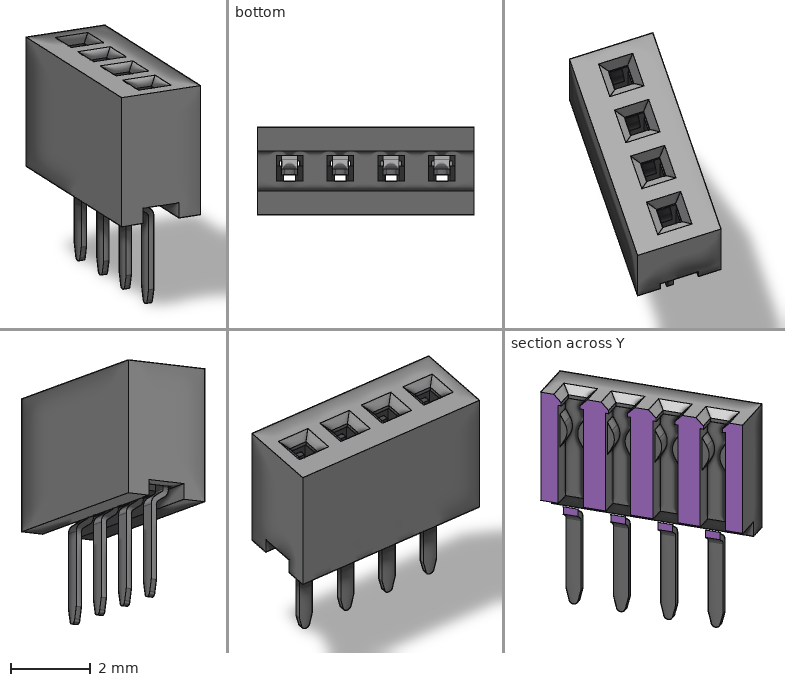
import cadquery as cq
import math


body_length = 5.42
body_width = 2.2
body_height = 3.4
notch_width = 1.0
notch_height = 0.4

contact_count = 4
pitch = 1.27
contact_xs = [(i - (contact_count - 1) / 2) * pitch for i in range(contact_count)]

funnel_side = 0.9
throat_side = 0.5
funnel_depth = (funnel_side - throat_side) / 2
throat_depth = 0.1
throat_z = body_height - funnel_depth
cavity_top_z = throat_z - throat_depth
cavity_side_gap = 0.08
cavity_back_gap = 0.005
cavity_half_width = throat_side / 2 + cavity_side_gap
cavity_back_y = throat_side / 2 + cavity_back_gap

total_height = 5.8
pin_bottom_z = body_height - total_height
pin_width = 0.4
sheet_thickness = 0.15
blade_y = 0.025
plate_y = -0.32
bend_start_z = -0.065
bend_angle = math.radians(57)
lower_bend_radius = 0.19
upper_bend_radius = 0.155
taper_height = 0.42
tip_half_width = 0.12
tip_round_height = 0.11
cavity_front_y = plate_y - sheet_thickness / 2

arm_recess = 0.29
arm_top_z = cavity_top_z - arm_recess
arm_front_y = -0.13
arm_tip_half_gap = 0.145
flare_half_gap = 0.21
flare_angle = math.radians(30)


def make_housing():
    """Plain block with a notch along its underside."""
    block = cq.Workplane("XY").box(body_length, body_width, body_height, centered=(True, True, False))
    notch = cq.Workplane("XY").box(body_length, notch_width, notch_height, centered=(True, True, False))
    return block.cut(notch)


def make_entry():
    """Space of one contact: funnel, throat and cavity, centred on X = 0."""
    funnel = (
        cq.Workplane("XY", origin=(0, 0, throat_z))
        .rect(throat_side, throat_side)
        .workplane(offset=funnel_depth)
        .rect(funnel_side, funnel_side)
        .loft(ruled=True)
    )
    throat = (
        cq.Workplane("XY", origin=(0, 0, cavity_top_z))
        .rect(throat_side, throat_side)
        .extrude(throat_depth)
    )
    cavity = (
        cq.Workplane("XY", origin=(0, 0, notch_height))
        .moveTo(-cavity_half_width, cavity_front_y)
        .lineTo(cavity_half_width, cavity_front_y)
        .lineTo(cavity_half_width, cavity_back_y)
        .lineTo(-cavity_half_width, cavity_back_y)
        .close()
        .extrude(cavity_top_z - notch_height)
    )
    return funnel.union(throat).union(cavity)


def make_arm():
    """Spring arm on the +X wall: a flare, a rounded contact line and the same flare below."""
    flare_height = (cavity_half_width - flare_half_gap) / math.tan(flare_angle)
    round_radius = (flare_half_gap - arm_tip_half_gap) / (1 - math.cos(flare_angle))
    round_half_height = round_radius * math.sin(flare_angle)
    round_top_z = arm_top_z - flare_height
    contact_z = round_top_z - round_half_height
    round_bottom_z = contact_z - round_half_height
    return (
        cq.Workplane("XZ", origin=(0, cavity_back_y, 0))
        .moveTo(cavity_half_width, arm_top_z)
        .lineTo(flare_half_gap, round_top_z)
        .threePointArc((arm_tip_half_gap, contact_z), (flare_half_gap, round_bottom_z))
        .lineTo(cavity_half_width, round_bottom_z - flare_height)
        .close()
        .extrude(cavity_back_y - arm_front_y)
    )


def make_blade():
    """Straight lower part of a pin with a tapered, rounded tip."""
    half_width = pin_width / 2
    taper_z = pin_bottom_z + taper_height
    round_z = pin_bottom_z + tip_round_height
    return (
        cq.Workplane("XZ", origin=(0, blade_y + sheet_thickness / 2, 0))
        .moveTo(-half_width, bend_start_z)
        .lineTo(-half_width, taper_z)
        .lineTo(-tip_half_width, round_z)
        .threePointArc((0, pin_bottom_z), (tip_half_width, round_z))
        .lineTo(half_width, taper_z)
        .lineTo(half_width, bend_start_z)
        .close()
        .extrude(sheet_thickness)
    )


def make_bent_plate():
    """Upper part of a pin: an S-bend toward -Y, then a plate up the cavity's front wall."""
    turn = 1 - math.cos(bend_angle)
    lower_end_y = blade_y - lower_bend_radius * turn
    lower_end_z = bend_start_z + lower_bend_radius * math.sin(bend_angle)
    upper_start_y = plate_y + upper_bend_radius * turn
    upper_start_z = lower_end_z + (lower_end_y - upper_start_y) / math.tan(bend_angle)
    upper_end_z = upper_start_z + upper_bend_radius * math.sin(bend_angle)
    path = (
        cq.Workplane("YZ")
        .moveTo(blade_y, bend_start_z)
        .radiusArc((lower_end_y, lower_end_z), -lower_bend_radius)
        .lineTo(upper_start_y, upper_start_z)
        .radiusArc((plate_y, upper_end_z), upper_bend_radius)
        .lineTo(plate_y, arm_top_z)
    )
    section = cq.Workplane("XY", origin=(0, blade_y, bend_start_z)).rect(pin_width, sheet_thickness)
    return section.sweep(path)


entry = make_entry()
arm = make_arm()
contact = make_blade().union(make_bent_plate()).union(arm).union(arm.mirror("YZ"))

result = make_housing()
for x in contact_xs:
    result = result.cut(entry.translate((x, 0, 0)))
    result = result.union(contact.translate((x, 0, 0)))